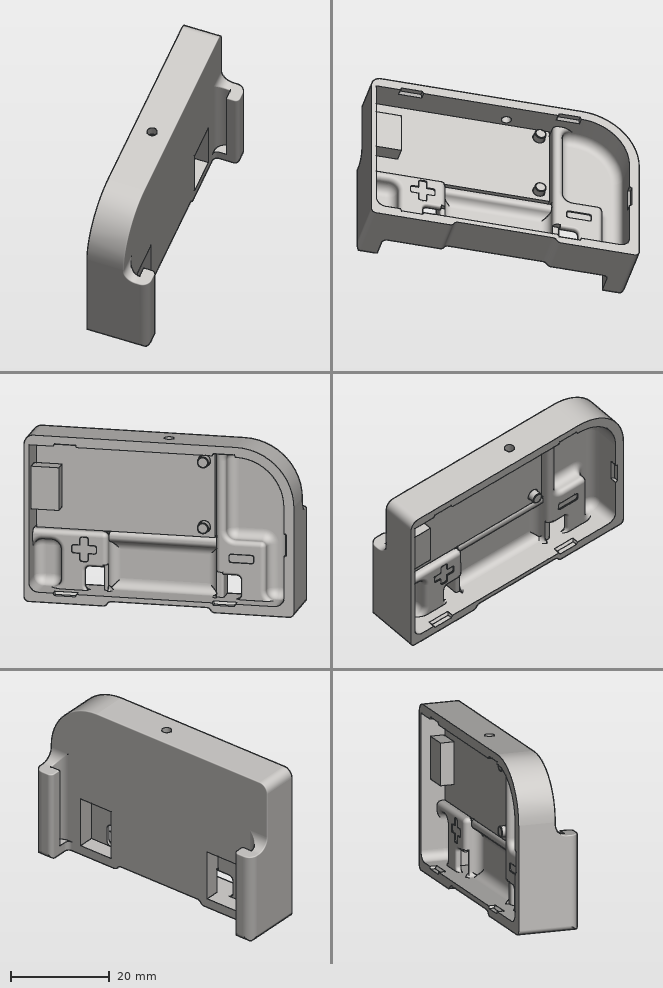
import cadquery as cq
import math

depth = 13.3
width = 56.0
height = 35.0

plate_depth = 8.0
big_radius = 12.0
upper_radius = 2.0
small_radius = 1.0
hook_width = 4.5
hook_height = 20.0
hook_corner_radius = 2.0
hook_root_radius = 2.65
hook_wall = 2.25
slot_corner_radius = 2.25
slot_run = 3.35
edge_round = 0.2
notch_half_width = 10.75
notch_depth = 1.0

wall = 2.1
thin_wall = 1.0
back_wall = 1.0
floor_x = plate_depth - back_wall
left_y = width - thin_wall
top_z = height - wall
pocket_radius = 2.0
floor_radius = 2.0
inner_big_radius = big_radius - wall
land_x = 3.5
crest_x = 5.0
ridge = 2.1
ridge_top_z = 14.2
ridge_low_z = ridge_top_z - ridge
seat_round = 0.5

middle_y0 = 17.0
middle_y1 = 39.5
side_pocket_y = 49.2
column_y = middle_y0 - ridge
column_foot_y = 6.7

window_y0 = 40.45
window_y1 = 44.25
window_top_z = 7.1
block_back_x = land_x + small_radius
block_top_z = ridge_top_z - small_radius
window_edge = 0.5

mark_z = 10.65
mark_length = 5.15
mark_bar = 1.75
mark_depth = 0.3
mark_round = 0.5
plus_y = 44.35
minus_y = 11.7

snap_length = 4.9
snap_depth = 0.5
snap_reach = 1.5
snap_taper = 0.3
snap_ys = (14.55, 47.55)
snap_side_z = 15.05

board_y0 = 17.5
board_y1 = left_y - seat_round
board_z0 = 14.4
board_z1 = top_z - seat_round
plug_x = 2.0
plug_length = 5.75
plug_z0 = 18.9
plug_z1 = 27.9
peg_diameter = 2.3
peg_hole_diameter = 2.5
peg_tip_diameter = 2.0
peg_tip_x = 3.5
peg_y = 19.7
peg_heights = (16.6, 30.4)

light_hole_diameter = 2.0
light_hole_x = 4.0
light_hole_y = 26.75

tolerance = 0.005


def box(x0, x1, y0, y1, z0, z1):
    solid = cq.Workplane("XY").box(x1 - x0, y1 - y0, z1 - z0, centered=False)
    return solid.translate((x0, y0, z0))


def round_along(solid, axis, corners, radius):
    """Round the straight edges along one axis that pass through the given corners.

    A corner holds the two other coordinates, in X, Y, Z order.
    """
    def at_corner(edge):
        center = edge.Center().toTuple()
        across = [c for name, c in zip("XYZ", center) if name != axis]
        return any(math.dist(across, corner) < tolerance for corner in corners)

    return solid.edges("|" + axis).filter(at_corner).fillet(radius)


def outline(y0, y1, z0, z1, radius, x0, x1):
    """Rectangle in Y and Z with one big round at low Y and high Z, extruded along X."""
    center_y = y0 + radius
    center_z = z1 - radius
    reach = radius * math.sqrt(0.5)
    return (
        cq.Workplane("YZ", origin=(x0, 0, 0))
        .moveTo(y0, z0)
        .lineTo(y1, z0)
        .lineTo(y1, z1)
        .lineTo(center_y, z1)
        .threePointArc((center_y - reach, center_z + reach), (y0, center_z))
        .close()
        .extrude(x1 - x0)
    )


def outer_body():
    """Plate and two hooks: the overlap of the outlines seen along X, Z and Y."""
    face = outline(0, width, 0, height, big_radius, 0, depth)
    face = round_along(face, "X", [(0, 0), (width, 0)], small_radius)
    face = round_along(face, "X", [(width, height)], upper_radius)

    far_hook = width - hook_width
    plan = box(0, depth, 0, width, 0, height).cut(
        box(plate_depth, depth, hook_width, far_hook, 0, height)
    )
    plan = round_along(plan, "Z", [(depth, 0), (depth, width)], hook_corner_radius)
    inner_corners = [(x, y) for x in (plate_depth, depth) for y in (hook_width, far_hook)]
    plan = round_along(plan, "Z", inner_corners, small_radius)

    side = box(0, depth, 0, width, 0, height).cut(
        box(plate_depth, depth, 0, width, hook_height, height)
    )
    side = round_along(side, "Y", [(plate_depth, hook_height)], hook_root_radius)
    side = round_along(side, "Y", [(depth, 0)], small_radius)
    return face.intersect(plan).intersect(side)


def hook_slots():
    """Slot between the plate and the lip of each hook, open to the middle and to the top."""
    lip_x = plate_depth + hook_root_radius
    slots = []
    for wall_y, open_y in ((hook_wall, hook_width), (width - hook_wall, width - hook_width)):
        inward = math.copysign(slot_run, open_y - wall_y)
        y0, y1 = sorted((wall_y, wall_y + inward))
        slot = box(plate_depth, lip_x, y0, y1, wall, height)
        slots.append(round_along(slot, "Z", [(plate_depth, wall_y)], slot_corner_radius))
    return slots


def round_back_edges(body):
    """Slightly round the back rim of the plate and the rims of the hook tops."""
    root_ends = (
        (plate_depth + hook_root_radius, hook_height),
        (plate_depth, hook_height + hook_root_radius),
    )

    def on_rim(edge):
        center = edge.Center()
        bounds = edge.BoundingBox()
        along_y = bounds.xlen + bounds.zlen < tolerance
        at_root = any(math.dist((center.x, center.z), end) < tolerance for end in root_ends)
        behind_plate = center.x > plate_depth - tolerance
        above_hooks = center.z > hook_height - tolerance
        return behind_plate and above_hooks and not (along_y and at_root)

    return body.edges().filter(on_rim).fillet(edge_round)


def bottom_notch():
    """Shallow relief under the middle of the case, with an S-shaped run at each end."""
    middle = width / 2
    half_run = small_radius * math.sin(math.acos(1 - notch_depth / 2 / small_radius))
    outer = notch_half_width + half_run
    inner = notch_half_width - half_run
    return (
        cq.Workplane("YZ")
        .moveTo(middle - outer, 0)
        .radiusArc((middle - notch_half_width, notch_depth / 2), -small_radius)
        .radiusArc((middle - inner, notch_depth), small_radius)
        .lineTo(middle + inner, notch_depth)
        .radiusArc((middle + notch_half_width, notch_depth / 2), small_radius)
        .radiusArc((middle + outer, 0), -small_radius)
        .close()
        .extrude(depth)
    )


def open_cavity():
    """Everything inside the rim, down to the floor."""
    cavity = outline(wall, left_y, wall, top_z, inner_big_radius, 0, floor_x)
    return round_along(cavity, "X", [(wall, wall), (left_y, wall)], pocket_radius)


def column_pocket():
    """L-shaped pocket along the side with the big round."""
    pocket = outline(wall, column_y, wall, top_z, inner_big_radius, land_x, floor_x).cut(
        box(land_x, floor_x, column_foot_y, column_y, wall, ridge_top_z)
    )
    round_corners = [
        (wall, wall),
        (column_foot_y, wall),
        (column_y, ridge_top_z),
        (column_y, top_z),
    ]
    pocket = round_along(pocket, "X", round_corners, pocket_radius)
    pocket = round_along(pocket, "X", [(column_foot_y, ridge_top_z)], small_radius)
    return pocket.faces(">X").edges().fillet(floor_radius)


def side_pocket():
    """Small pocket beside the plus block."""
    pocket = box(land_x, floor_x, side_pocket_y, left_y, wall, ridge_low_z)
    return pocket.edges("|X").fillet(pocket_radius).faces(">X").edges().fillet(floor_radius)


def middle_pocket():
    """Pocket between the terminal blocks, joined over a low round-topped ridge to the board bay.

    The ridge top blends into the concave floor round: the two arcs meet where the
    line between their centers crosses the floor round.
    """
    bend_x = floor_x - floor_radius
    bend_low_z = wall + floor_radius
    bend_high_z = ridge_low_z - floor_radius
    top_x = crest_x + small_radius
    reach = floor_radius + small_radius
    blend_z = bend_high_z + math.sqrt(reach**2 - (top_x - bend_x) ** 2)
    part = floor_radius / reach
    meet = (bend_x + part * (top_x - bend_x), bend_high_z + part * (blend_z - bend_high_z))
    lengthwise = (
        cq.Workplane("XZ", origin=(0, middle_y1, 0))
        .moveTo(land_x, wall)
        .lineTo(bend_x, wall)
        .radiusArc((floor_x, bend_low_z), -floor_radius)
        .lineTo(floor_x, bend_high_z)
        .radiusArc(meet, -floor_radius)
        .radiusArc((crest_x, blend_z), small_radius)
        .lineTo(crest_x, ridge_top_z - small_radius)
        .radiusArc((top_x, ridge_top_z), small_radius)
        .lineTo(land_x, ridge_top_z)
        .close()
        .extrude(middle_y1 - middle_y0)
    )
    sharp = box(land_x, floor_x, middle_y0, middle_y1, wall, ridge_top_z)
    across = sharp.edges("|Z and >X").fillet(floor_radius)
    face = round_along(sharp, "X", [(middle_y0, wall), (middle_y1, wall)], small_radius)
    return lengthwise.intersect(across).intersect(face)


def plus_corner():
    """Space outside the round upper corner of the plus block, above the low ridge."""
    y1 = middle_y1 + small_radius
    z0 = ridge_top_z - small_radius
    round_part = cq.Workplane("YZ", origin=(land_x, y1, z0)).circle(small_radius).extrude(depth)
    return box(land_x, crest_x, middle_y1, y1, z0, ridge_top_z).cut(round_part)


def board_bay():
    """Bay for the board, with a small round along three of its floor edges."""
    bay = box(land_x, floor_x, middle_y0, left_y, ridge_top_z, top_z)
    return bay.faces(">X").edges("|Z or >Z").fillet(seat_round)


def with_round_mouth(pocket):
    """Everything in front of the pocket, the pocket itself and the convex round of its mouth."""
    slab = box(land_x, floor_x, -width, 2 * width, -height, 2 * height).cut(pocket)
    mouth = cq.selectors.BoxSelector((0, 0, 0), (land_x + seat_round, width, height))
    slab = slab.faces("<X").edges(mouth).fillet(small_radius)
    return open_cavity().cut(slab, clean=False)


def window_opening(closed_y, inner_y, pocket_y, recess_y):
    """Recess behind a terminal block, with a rounded window through the block's front.

    The window is also open sideways into the middle pocket at pocket_y.
    """
    hole_y0, hole_y1 = sorted((closed_y, inner_y))
    hole = box(land_x, block_back_x, hole_y0, hole_y1, wall, window_top_z)
    hole = round_along(hole, "X", [(closed_y, wall), (closed_y, window_top_z)], small_radius)
    slab = box(land_x, block_back_x, 0, width, 0, height).cut(hole)
    mouth = cq.selectors.BoxSelector((0, 0.55, 0.55), (land_x + 0.05, width - 0.55, height - 0.55))
    slab = slab.faces("<X").edges(mouth).fillet(window_edge)

    rim_top_z = window_top_z + window_edge
    rim_y = closed_y + math.copysign(window_edge, closed_y - pocket_y)
    y0, y1 = sorted((rim_y, pocket_y))
    opening = box(land_x, block_back_x, y0, y1, wall, rim_top_z).cut(slab)
    y0, y1 = sorted((inner_y, pocket_y))
    opening = opening.union(box(land_x, block_back_x, y0, y1, wall, rim_top_z))
    y0, y1 = sorted((inner_y, recess_y))
    opening = opening.union(box(block_back_x, plate_depth, y0, y1, wall, block_top_z))

    inward = math.copysign(window_edge, pocket_y - inner_y)
    round_x = block_back_x + window_edge
    y0, y1 = sorted((inner_y, inner_y + inward))
    jamb_round = cq.Workplane("XY", origin=(round_x, inner_y + inward, 0)).circle(window_edge).extrude(height)
    return opening.union(box(block_back_x, round_x, y0, y1, wall, rim_top_z).cut(jamb_round))


def mark_bars(center_y, sizes):
    """Engraved polarity mark made of round-cornered bars."""
    mark = cq.Workplane("YZ")
    for size_y, size_z in sizes:
        bar = box(
            land_x, land_x + mark_depth,
            center_y - size_y / 2, center_y + size_y / 2,
            mark_z - size_z / 2, mark_z + size_z / 2,
        )
        mark = mark.add(bar.edges("|X").fillet(mark_round))
    return mark.combine()


def snap_recess():
    """Wedge cut at the rim, deepest at X = 0, with slanted ends; it lies below Z = 0 along Y."""
    half = snap_length / 2
    ends = (
        cq.Workplane("YZ")
        .polyline([(half, 0), (-half, 0), (snap_taper - half, -snap_depth), (half - snap_taper, -snap_depth)])
        .close()
        .extrude(snap_reach)
    )
    ramp = (
        cq.Workplane("XZ", origin=(0, half, 0))
        .polyline([(0, 0), (snap_reach, 0), (snap_reach - snap_depth, -snap_depth), (0, -snap_depth)])
        .close()
        .extrude(snap_length)
    )
    return ends.intersect(ramp)


def placed_snap_recesses():
    """Two recesses in the lower wall, two in the upper wall and one in the side wall."""
    origin = (0, 0, 0)
    x_axis = (1, 0, 0)
    recesses = []
    for y in snap_ys:
        recesses.append(snap_recess().translate((0, y, wall)))
        recesses.append(snap_recess().rotate(origin, x_axis, 180).translate((0, y, top_z)))
    recesses.append(snap_recess().rotate(origin, x_axis, -90).translate((0, wall, snap_side_z)))
    return recesses


def pegs():
    """Chamfered posts on the bay floor."""
    posts = []
    for z in peg_heights:
        post = (
            cq.Workplane("YZ", origin=(peg_tip_x, peg_y, z))
            .circle(peg_diameter / 2)
            .extrude(floor_x - peg_tip_x)
        )
        posts.append(post.faces("<X").chamfer((peg_diameter - peg_tip_diameter) / 2))
    return posts


def light_hole():
    """Round hole through the upper wall."""
    return (
        cq.Workplane("XY", origin=(light_hole_x, light_hole_y, top_z))
        .circle(light_hole_diameter / 2)
        .extrude(wall)
    )


def housing():
    body = outer_body()
    for slot in hook_slots():
        body = body.cut(slot)
    body = round_back_edges(body)
    body = body.cut(bottom_notch())

    middle_space = middle_pocket().union(plus_corner()).union(board_bay())
    for pocket in (column_pocket(), side_pocket(), middle_space):
        body = body.cut(with_round_mouth(pocket), clean=False)

    plus_recess_y = side_pocket_y - small_radius
    minus_recess_y = column_foot_y + small_radius
    details = [
        window_opening(window_y1, window_y0, middle_y1, plus_recess_y),
        window_opening(width - window_y1, width - window_y0, middle_y0, minus_recess_y),
        mark_bars(plus_y, [(mark_length, mark_bar), (mark_bar, mark_length)]),
        mark_bars(minus_y, [(mark_length, mark_bar)]),
        *placed_snap_recesses(),
        light_hole(),
    ]
    for detail in details:
        body = body.cut(detail, clean=False)
    for post in pegs():
        body = body.union(post, clean=False)
    return body.clean()


def board():
    """Circuit board lying on the floor of its bay, with a plug socket against the side wall."""
    plate = box(crest_x, floor_x, board_y0, board_y1, board_z0, board_z1)
    for z in peg_heights:
        hole = (
            cq.Workplane("YZ", origin=(crest_x, peg_y, z))
            .circle(peg_hole_diameter / 2)
            .extrude(floor_x - crest_x)
        )
        plate = plate.cut(hole)
    socket = box(plug_x, crest_x, left_y - plug_length, left_y, plug_z0, plug_z1)
    return plate.union(socket)


result = cq.Compound.makeCompound([housing().val(), board().val()])